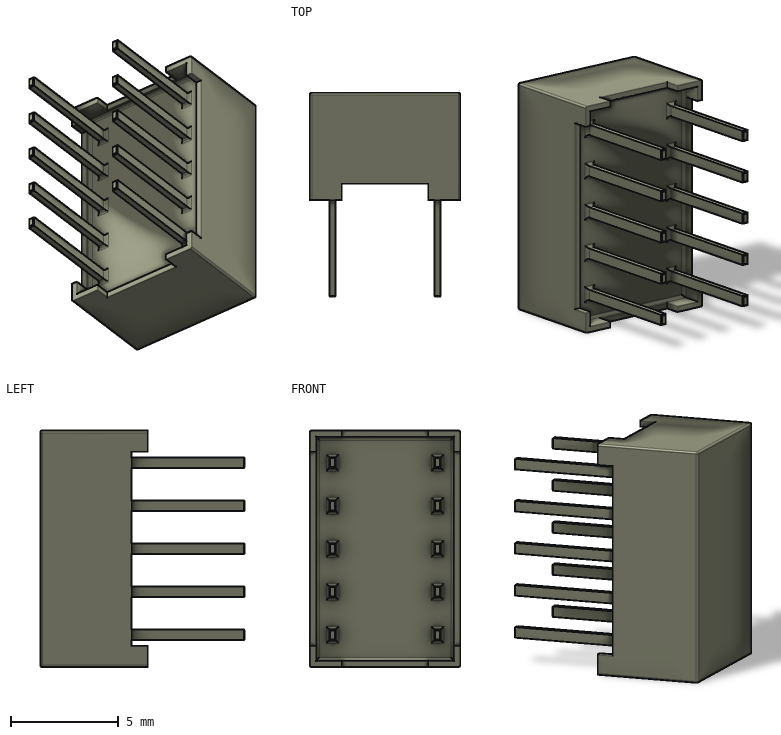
import cadquery as cq

WIDTH = 7.0
HEIGHT = 11.0
DEPTH = 5.0
WALL = 0.3
EDGE_RADIUS = 0.1

RECESS_DEPTH = 1.0
RECESS_RADIUS = 0.15

NOTCH_DEPTH = 0.75
SIDE_NOTCH_HEIGHT = 9.0
END_NOTCH_WIDTH = 4.0
RIM_RADIUS = 0.02

PIN_WIDTH = 0.3
PIN_HEIGHT = 0.5
PIN_PROJECTION = 4.5
PIN_PITCH = 2.0
PIN_ROWS = 5
COLUMN_SPACING = 4.88
PIN_BASE_RADIUS = 0.15
PIN_TIP_CHAMFER = 0.05

REAR_Y = DEPTH / 2
RIM_Y = REAR_Y - DEPTH
NOTCH_Y = RIM_Y + NOTCH_DEPTH
FLOOR_Y = RIM_Y + RECESS_DEPTH
TIP_Y = RIM_Y - PIN_PROJECTION

TOLERANCE = 0.001


def block(size_x, size_z, y_start, y_end, x=0, z=0):
    """Box centred on (x, z) that spans y_start to y_end."""
    length_y = y_end - y_start
    return cq.Workplane("XY").box(size_x, length_y, size_z).translate((x, y_start + length_y / 2, z))


def is_sharp_rim_edge(edge):
    """True for the convex edges of the rim, false for its inside corners and rounded outer corners."""
    bounds = edge.BoundingBox()
    center = edge.Center()
    if bounds.ymax > NOTCH_Y + TOLERANCE:
        return False
    runs_along_y = bounds.ylen > TOLERANCE
    if runs_along_y:
        on_side_notch = abs(abs(center.z) - SIDE_NOTCH_HEIGHT / 2) < TOLERANCE
        on_end_notch = abs(abs(center.x) - END_NOTCH_WIDTH / 2) < TOLERANCE
        return on_side_notch or on_end_notch
    on_notch_floor = center.y > NOTCH_Y - TOLERANCE
    crosses_wall = max(bounds.xlen, bounds.zlen) < WALL + TOLERANCE
    return not (on_notch_floor and crosses_wall)


def round_rim(housing):
    """Break every sharp edge of the feet and notches."""
    rim_edges = [edge for edge in housing.edges().vals() if is_sharp_rim_edge(edge)]
    return housing.newObject(rim_edges).fillet(RIM_RADIUS)


def make_housing():
    """Rounded box with a filleted recess and a notch across each pair of walls."""
    body = block(WIDTH, HEIGHT, RIM_Y, REAR_Y)
    body = body.edges("|Y").fillet(EDGE_RADIUS)
    body = body.faces(">Y").edges().fillet(EDGE_RADIUS)

    recess = block(WIDTH - 2 * WALL, HEIGHT - 2 * WALL, RIM_Y, FLOOR_Y)
    recess = recess.faces(">Y").edges().fillet(RECESS_RADIUS)

    side_notch = block(WIDTH, SIDE_NOTCH_HEIGHT, RIM_Y, NOTCH_Y)
    end_notch = block(END_NOTCH_WIDTH, HEIGHT, RIM_Y, NOTCH_Y)
    return round_rim(body.cut(recess).cut(side_notch).cut(end_notch))


def make_pin(x, z):
    """Rectangular pin with a chamfered tip, standing on the recess floor."""
    shaft = block(PIN_WIDTH, PIN_HEIGHT, TIP_Y, FLOOR_Y, x, z)
    return shaft.faces("<Y").edges().chamfer(PIN_TIP_CHAMFER)


def add_pins(housing):
    """Join all pins to the housing and flare each one where it meets the floor."""
    part = housing
    for x in (-COLUMN_SPACING / 2, COLUMN_SPACING / 2):
        for row in range(PIN_ROWS):
            z = (row - (PIN_ROWS - 1) / 2) * PIN_PITCH
            part = part.union(make_pin(x, z))

    floor = part.faces(cq.selectors.NearestToPointSelector((0, FLOOR_Y, 0))).val()
    base_edges = [edge for outline in floor.innerWires() for edge in outline.Edges()]
    return part.newObject(base_edges).fillet(PIN_BASE_RADIUS)


result = add_pins(make_housing())